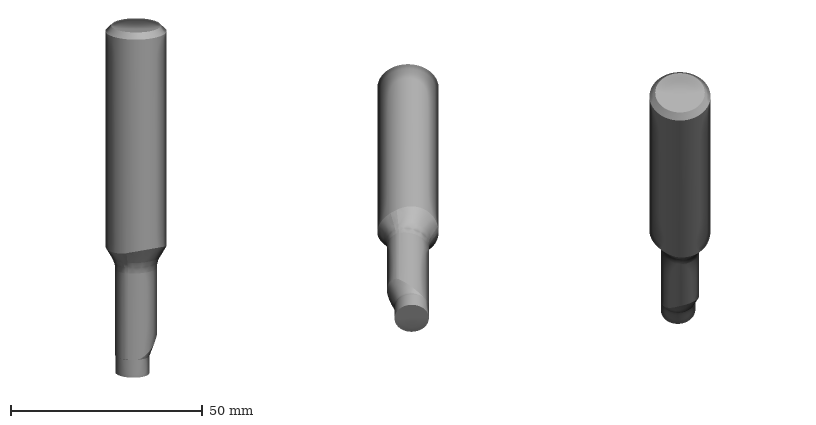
import cadquery as cq
import math

total_length = 94.7
shank_diameter = 16.0
shank_chamfer = 1.5

neck_half_x = 4.7
neck_half_y = 5.6
end_radius = 4.8
corner_radius = 2.7
end_arc_angle = math.radians(30)
neck_top = 28.4

flare_angle = 30.0
flare_fillet = 6.25
flare_top = 37.9
joint_tolerance = 0.1

tip_diameter = 9.0
tip_length = 4.8
tip_cone_angle = math.radians(20)
tip_face_tilt = math.radians(2)

shank_radius = shank_diameter / 2
tip_radius = tip_diameter / 2
tip_center_y = tip_radius - neck_half_y
flare_start = neck_top + flare_fillet * math.tan(math.radians(flare_angle / 2))


def neck_outline(z):
    """Closed oval outline of the neck at height z."""
    end_center_y = neck_half_y - end_radius
    corner_x = (end_radius - corner_radius) * math.sin(end_arc_angle)
    corner_y = end_center_y + (end_radius - corner_radius) * math.cos(end_arc_angle)

    side_offset = neck_half_x - corner_x
    side_radius = (side_offset**2 + corner_y**2 - corner_radius**2) / (2 * (side_offset - corner_radius))
    side_center_x = neck_half_x - side_radius
    side_angle = math.atan2(corner_x - side_center_x, corner_y)

    end_x = end_radius * math.sin(end_arc_angle)
    end_y = end_center_y + end_radius * math.cos(end_arc_angle)
    side_x = side_center_x + side_radius * math.sin(side_angle)
    side_y = side_radius * math.cos(side_angle)
    middle_angle = (end_arc_angle + side_angle) / 2
    middle_x = corner_x + corner_radius * math.sin(middle_angle)
    middle_y = corner_y + corner_radius * math.cos(middle_angle)

    return (
        cq.Workplane("XY", origin=(0, 0, z))
        .moveTo(-end_x, end_y)
        .threePointArc((0, neck_half_y), (end_x, end_y))
        .threePointArc((middle_x, middle_y), (side_x, side_y))
        .threePointArc((neck_half_x, 0), (side_x, -side_y))
        .threePointArc((middle_x, -middle_y), (end_x, -end_y))
        .threePointArc((0, -neck_half_y), (-end_x, -end_y))
        .threePointArc((-middle_x, -middle_y), (-side_x, -side_y))
        .threePointArc((-neck_half_x, 0), (-side_x, side_y))
        .threePointArc((-middle_x, middle_y), (-end_x, end_y))
        .close()
    )


def make_shank():
    """Cylindrical shank, chamfered at the top, above the flare."""
    return (
        cq.Workplane("XY", origin=(0, 0, flare_top))
        .circle(shank_radius)
        .extrude(total_length - flare_top)
        .faces(">Z")
        .chamfer(shank_chamfer)
    )


def make_neck():
    """Oval neck whose lower end is trimmed by a cone around the tip axis."""
    neck_height = flare_start - tip_length
    neck = neck_outline(tip_length).extrude(neck_height)
    cone_top_radius = tip_radius + neck_height * math.tan(tip_cone_angle)
    cone = cq.Workplane("XY").add(
        cq.Solid.makeCone(tip_radius, cone_top_radius, neck_height, cq.Vector(0, tip_center_y, tip_length))
    )
    return neck.intersect(cone)


def make_flare():
    """Oval flare blended into the neck and trimmed to the shank diameter."""
    straight = neck_outline(tip_length).extrude(flare_start - tip_length)
    taper = neck_outline(flare_start).extrude(flare_top - flare_start, taper=-flare_angle)
    joint_low = flare_start - flare_fillet
    joint_edges = cq.selectors.BoxSelector(
        (-shank_radius, -shank_radius, flare_start - joint_tolerance),
        (shank_radius, shank_radius, flare_start + joint_tolerance),
    )
    blended = straight.union(taper).edges(joint_edges).fillet(flare_fillet)
    envelope = (
        cq.Workplane("XY", origin=(0, 0, joint_low))
        .circle(shank_radius)
        .extrude(flare_top - joint_low)
    )
    return blended.intersect(envelope)


def make_tip():
    """Offset cylinder with a slightly tilted end face, lowest on the +X side."""
    rise = tip_diameter * math.tan(tip_face_tilt)
    profile = (
        cq.Workplane("XZ")
        .moveTo(tip_radius, 0)
        .lineTo(tip_radius, tip_length)
        .lineTo(-tip_radius, tip_length)
        .lineTo(-tip_radius, rise)
        .close()
        .extrude(shank_diameter, both=True)
    )
    cylinder = cq.Workplane("XY").center(0, tip_center_y).circle(tip_radius).extrude(tip_length)
    return cylinder.intersect(profile)


result = make_shank().union(make_flare()).union(make_neck()).union(make_tip())